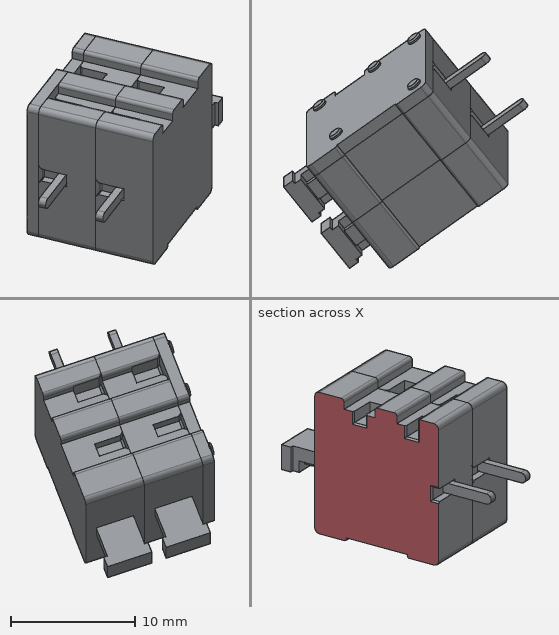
import cadquery as cq

block_width = 11.0
block_length = 12.0
block_height = 12.5
corner_radius = 0.49
plate_thickness = 1.0
module_count = 2
module_width = (block_width - plate_thickness) / module_count

button_channel = (6.16, 9.1)
wire_channel = (2.07, 4.02)
channel_depth = 0.9
channel_floor = block_height - channel_depth
channel_lip_radius = 0.3

relief = (3.05, 8.91)
relief_depth = 0.3
relief_lip_radius = 0.2

stud_radius = 0.58
stud_height = 0.3
stud_taper_height = 0.15
stud_taper_inset = 0.1
stud_places = [(10.6, 11.5), (5.09, 11.5), (1.1, 11.5), (8.95, 2.6), (1.1, 1.4)]

slot_length = 2.45
slot_width = 1.13
slot_chamfer = 0.25
top_slot_depth = 1.0
pin_slot_depth = 0.65
button_slot_y = 7.62
wire_slot_y = 2.6

pin_offset = 2.03
pin_width = 0.65
pin_thickness = 0.9
pin_reach = 4.0
pin_z = block_height / 2
tip_radius = 0.499 * pin_thickness

lever_offset = 2.52
lever_end = block_length + 3.51
lever_top = pin_z + pin_thickness / 2
lever_bottom = 4.5
lever_width = 3.18
head_width = 3.78
head_length = 0.9
hook_length = 1.5
arm_bottom = 5.52
keel_bottom = 4.97
keel_width = lever_width / 2


def box(x_range, y_range, z_range):
    """Box filling the given (low, high) ranges."""
    ranges = (x_range, y_range, z_range)
    sizes = [high - low for low, high in ranges]
    corner = tuple(low for low, high in ranges)
    return cq.Workplane().box(*sizes, centered=False).translate(corner)


def cut_groove(body, length, walls, floor_z, rim_z, lip_radius):
    """Cut a groove along X from rim_z to floor_z and round its two lips."""
    z_range = (min(floor_z, rim_z), max(floor_z, rim_z))
    body = body.cut(box((0, length), walls, z_range))
    for wall_y in walls:
        lip = cq.NearestToPointSelector((length / 2, wall_y, rim_z))
        body = body.edges(lip).fillet(lip_radius)
    return body


def block_slice(length):
    """Slice of the block shared by the end plate and the modules, from X = 0."""
    body = box((0, length), (0, block_length), (0, block_height))
    body = body.edges("|X").fillet(corner_radius)
    body = cut_groove(body, length, button_channel, channel_floor, block_height, channel_lip_radius)
    return cut_groove(body, length, relief, relief_depth, 0, relief_lip_radius)


def slot_cutter(depth):
    """Slot centred on the origin, sunk to -Z and cleared upward, flared towards its open -X end."""
    half_width = slot_width / 2
    straight = box((0, slot_length), (-half_width, half_width), (-depth, depth))
    flare = (
        cq.Workplane("YZ")
        .rect(slot_width + 2 * slot_chamfer, 2 * (depth + slot_chamfer))
        .workplane(offset=slot_chamfer)
        .rect(slot_width, 2 * depth)
        .loft(ruled=True)
    )
    return straight.union(flare)


def lever():
    """Hooked push lever with a wide head and a narrower keel below its arm."""
    head_start = lever_end - head_length
    hook_start = lever_end - hook_length

    def section(width, y_range, z_range):
        return box((lever_offset - width / 2, lever_offset + width / 2), y_range, z_range)

    head = section(head_width, (head_start, lever_end), (lever_bottom, lever_top))
    hook = section(lever_width, (hook_start, head_start), (lever_bottom, lever_top))
    arm = section(lever_width, (block_length, hook_start), (arm_bottom, lever_top))
    keel = section(keel_width, (block_length, hook_start), (keel_bottom, arm_bottom))
    return head.union(hook).union(arm).union(keel)


def module(x):
    """Terminal module with its lever, its -X face at x."""
    body = block_slice(module_width)
    body = cut_groove(body, module_width, wire_channel, channel_floor, block_height, channel_lip_radius)
    top_slot = slot_cutter(top_slot_depth)
    for slot_y in (button_slot_y, wire_slot_y):
        body = body.cut(top_slot.translate((0, slot_y, channel_floor)))
    front_slot = slot_cutter(pin_slot_depth).rotate((0, 0, 0), (1, 0, 0), 90)
    body = body.cut(front_slot.translate((0, 0, pin_z)))
    return body.union(lever()).translate((x, 0, 0))


def end_plate():
    """End plate with tapered studs on its -X face."""
    body = block_slice(plate_thickness)
    profile = [
        (0, 0),
        (0, stud_radius),
        (stud_taper_height - stud_height, stud_radius),
        (-stud_height, stud_radius - stud_taper_inset),
        (-stud_height, 0),
    ]
    stud = cq.Workplane().polyline(profile).close().revolve(360, (0, 0, 0), (1, 0, 0))
    for y, z in stud_places:
        body = body.union(stud.translate((0, y, z)))
    return body


def pin(x):
    """Solder pin of the module whose -X face is at x."""
    body = box(
        (pin_offset - pin_width / 2, pin_offset + pin_width / 2),
        (-pin_reach, pin_slot_depth),
        (pin_z - pin_thickness / 2, pin_z + pin_thickness / 2),
    )
    return body.edges("<Y and |X").fillet(tip_radius).translate((x, 0, 0))


plate = end_plate()
modules = []
pins = []
for index in range(module_count):
    module_x = plate_thickness + index * module_width
    modules.append(module(module_x).val())
    pins.append(pin(module_x).val())

result = cq.Compound.makeCompound([plate.val(), *modules, *pins])